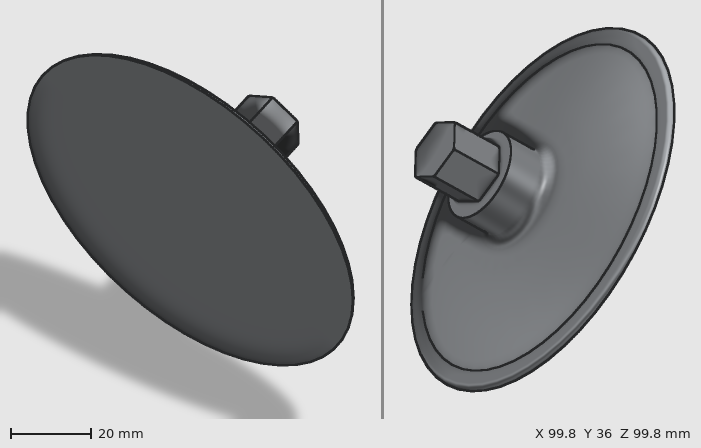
import cadquery as cq
import math

disc_radius = 49.9
rim_height = 1.5
rim_round = 1.5
dome_radius = 45.0
dome_start_slope = 6.0
collar_radius = 24.0 / 2
collar_top = 21.2
fillet_radius = 3.2
fillet_top = 11.4
hex_across_flats = 15.0
hex_rotation = 2.0
hex_corner_cut = 0.25
overall_height = 36.0

hex_corner_radius = hex_across_flats / math.sqrt(3)
hex_length = overall_height - collar_top


def point_on_fillet(angle):
    """Point of the concave collar fillet, at an angle about its centre."""
    a = math.radians(angle)
    center_radius = collar_radius + fillet_radius
    return (
        center_radius + fillet_radius * math.cos(a),
        fillet_top + fillet_radius * math.sin(a),
    )


def make_body():
    """Disc, dome and collar turned about the Y axis."""
    fillet_end_angle = 270 - dome_start_slope
    fillet_middle_angle = (180 + fillet_end_angle) / 2
    return (
        cq.Workplane("XY")
        .moveTo(0, 0)
        .lineTo(0, collar_top)
        .lineTo(collar_radius, collar_top)
        .lineTo(collar_radius, fillet_top)
        .threePointArc(point_on_fillet(fillet_middle_angle), point_on_fillet(fillet_end_angle))
        .tangentArcPoint((dome_radius, rim_height), relative=False)
        .lineTo(disc_radius - rim_round, rim_height)
        .radiusArc((disc_radius, rim_height - rim_round), rim_round)
        .close()
        .revolve(360, (0, 0, 0), (0, 1, 0))
    )


def make_hexagon():
    """Hexagonal drive with its corners bevelled at both ends."""
    base = cq.Workplane("XZ", origin=(0, collar_top, 0))
    prism = base.polygon(6, 2 * hex_corner_radius).extrude(-hex_length)
    prism = prism.rotate((0, 0, 0), (0, 1, 0), 30 - hex_rotation)
    envelope = base.circle(hex_corner_radius).extrude(-hex_length)
    envelope = envelope.faces("<Y or >Y").edges().chamfer(hex_corner_cut)
    return prism.intersect(envelope)


result = make_body().union(make_hexagon())